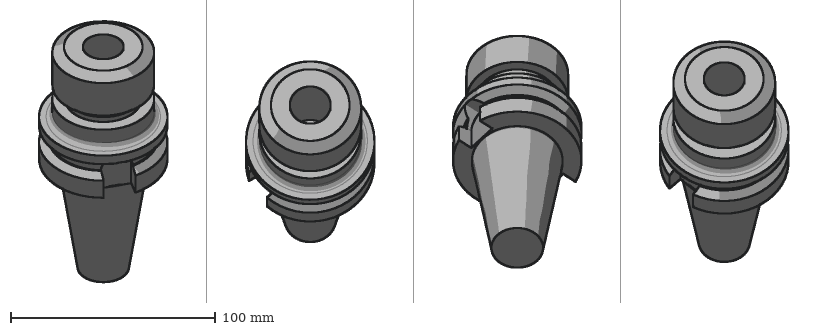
import cadquery as cq
import math


GAUGE_RADIUS = 44.45 / 2
TAPER_LENGTH = 65.4
TAPER_RATIO = 7 / 24
TAPER_END_RADIUS = GAUGE_RADIUS - TAPER_LENGTH * TAPER_RATIO / 2

FLANGE_RADIUS = 63 / 2
FLANGE_BOTTOM = 1.0
FLANGE_TOP = 27.0
GROOVE_RADIUS = 26.5
GROOVE_CENTRE = 16.6
GROOVE_MOUTH_WIDTH = 10.16
GROOVE_WALL_ANGLE = math.radians(30)
GROOVE_LEDGE_RADIUS = 27.0
GROOVE_WALL_RISE = (FLANGE_RADIUS - GROOVE_LEDGE_RADIUS) * math.tan(GROOVE_WALL_ANGLE)
GROOVE_MOUTH_BOTTOM = GROOVE_CENTRE - GROOVE_MOUTH_WIDTH / 2
GROOVE_MOUTH_TOP = GROOVE_CENTRE + GROOVE_MOUTH_WIDTH / 2
GROOVE_FLOOR_BOTTOM = GROOVE_MOUTH_BOTTOM + GROOVE_WALL_RISE
GROOVE_FLOOR_TOP = GROOVE_MOUTH_TOP - GROOVE_WALL_RISE

COLLAR_RADIUS = 25.0
COLLAR_TOP = 38.0
COLLAR_FILLET = 3.0

NECK_RADIUS = 18.75
NECK_TOP = 41.0
SHOULDER_RADIUS = 20.2
SHOULDER_RISE = SHOULDER_RADIUS - NECK_RADIUS

NUT_RADIUS = 25.0
NUT_BOTTOM = 46.7
NUT_TOP = 70.0
NUT_FACE_RADIUS = 19.25
NUT_CHAMFER_ANGLE = math.radians(30)
NUT_CHAMFER_HEIGHT = (NUT_RADIUS - NUT_FACE_RADIUS) * math.tan(NUT_CHAMFER_ANGLE)

BORE_RADIUS = 10.0
BORE_DEPTH = 40.0

SLOT_WIDTH = 16.1
SLOT_FLOOR = 22.6
SLOT_APEX = 22.0


def make_body():
    """Revolve the half outline of the whole chuck, from the shank end up to the nut face."""
    fillet_centre_x = COLLAR_RADIUS + COLLAR_FILLET
    fillet_centre_z = FLANGE_TOP + COLLAR_FILLET
    fillet_offset = COLLAR_FILLET * math.sqrt(0.5)
    outline = (
        cq.Workplane("XZ")
        .moveTo(0, -TAPER_LENGTH)
        .lineTo(TAPER_END_RADIUS, -TAPER_LENGTH)
        .lineTo(GAUGE_RADIUS, 0)
        .lineTo(GAUGE_RADIUS, FLANGE_BOTTOM)
        .lineTo(FLANGE_RADIUS, FLANGE_BOTTOM)
        .lineTo(FLANGE_RADIUS, GROOVE_MOUTH_BOTTOM)
        .lineTo(GROOVE_LEDGE_RADIUS, GROOVE_FLOOR_BOTTOM)
        .lineTo(GROOVE_RADIUS, GROOVE_FLOOR_BOTTOM)
        .lineTo(GROOVE_RADIUS, GROOVE_FLOOR_TOP)
        .lineTo(GROOVE_LEDGE_RADIUS, GROOVE_FLOOR_TOP)
        .lineTo(FLANGE_RADIUS, GROOVE_MOUTH_TOP)
        .lineTo(FLANGE_RADIUS, FLANGE_TOP)
        .lineTo(fillet_centre_x, FLANGE_TOP)
        .threePointArc(
            (fillet_centre_x - fillet_offset, fillet_centre_z - fillet_offset),
            (COLLAR_RADIUS, fillet_centre_z),
        )
        .lineTo(COLLAR_RADIUS, COLLAR_TOP)
        .lineTo(NECK_RADIUS, COLLAR_TOP)
        .lineTo(NECK_RADIUS, NECK_TOP)
        .lineTo(SHOULDER_RADIUS, NECK_TOP + SHOULDER_RISE)
        .lineTo(SHOULDER_RADIUS, NUT_BOTTOM)
        .lineTo(NUT_RADIUS, NUT_BOTTOM)
        .lineTo(NUT_RADIUS, NUT_TOP - NUT_CHAMFER_HEIGHT)
        .lineTo(NUT_FACE_RADIUS, NUT_TOP)
        .lineTo(0, NUT_TOP)
        .close()
    )
    return outline.revolve(360, (0, 0, 0), (0, 1, 0))


def make_bore():
    """Blind round hole going down from the nut face."""
    return cq.Workplane("XY").workplane(offset=NUT_TOP).circle(BORE_RADIUS).extrude(-BORE_DEPTH)


def make_key_slot(side):
    """Round-topped slot, open at the flange underside, on the +X (side=1) or -X (side=-1) side."""
    half_width = SLOT_WIDTH / 2
    arch_base = SLOT_APEX - half_width
    return (
        cq.Workplane("YZ")
        .workplane(offset=side * SLOT_FLOOR)
        .moveTo(-half_width, FLANGE_BOTTOM)
        .lineTo(half_width, FLANGE_BOTTOM)
        .lineTo(half_width, arch_base)
        .threePointArc((0, SLOT_APEX), (-half_width, arch_base))
        .close()
        .extrude(side * (FLANGE_RADIUS - SLOT_FLOOR))
    )


result = make_body().cut(make_bore())
for slot_side in (-1, 1):
    result = result.cut(make_key_slot(slot_side))